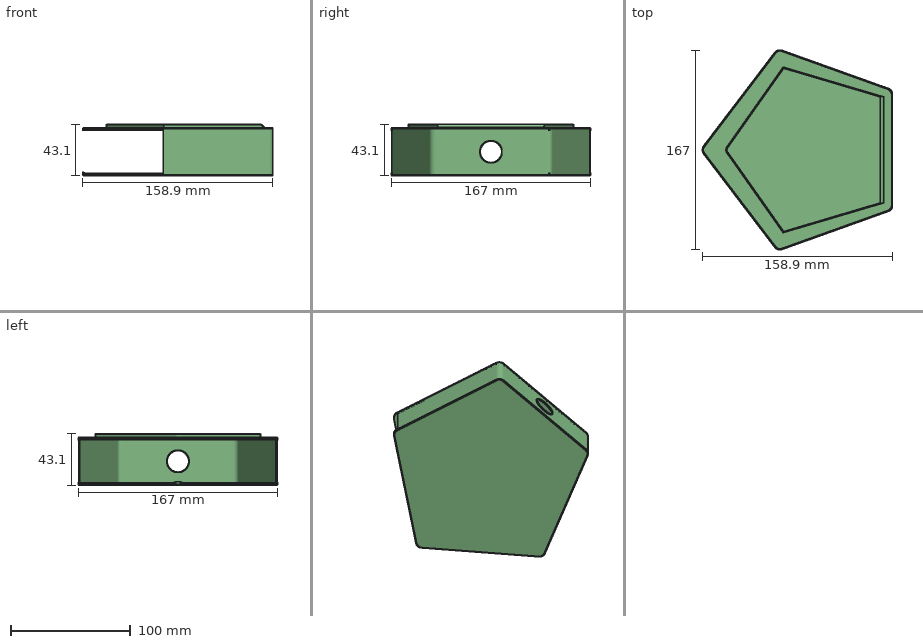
import cadquery as cq

length = 159.0
body_height = 39.9
plate_thickness = 2.0
wall_thickness = 1.0
corner_radius = 5.3
inner_corner_radius = 4.3
edge_chamfer = 0.7

back_x = length / 2
back_half_width = 50.0
shoulder_x = -16.5
shoulder_half_width = 84.5
tip_x = -80.8
wall_start_x = -12.4

panel_height = 3.2
panel_tip_x = -60.6
panel_shoulder_x = -11.9
panel_shoulder_half_width = 69.1
panel_back_x = 72.1
panel_back_half_width = 44.2
panel_tip_radius = 3.8
panel_edge_chamfer = 0.7
panel_lip_height = 0.5
panel_bevel_mid_inset = 1.5
panel_bevel_mid_height = 2.2
panel_bevel_top_inset = 3.0

hole_diameter = 18.0
hole_chamfer = 0.3

stop_height = 1.0
stop_length = 1.3


def pentagon(tip, shoulder, shoulder_half, back, back_half, height):
    """Prism on Z = 0 with a tip toward -X and a flat side toward +X."""
    points = [
        (tip, 0),
        (shoulder, -shoulder_half),
        (back, -back_half),
        (back, back_half),
        (shoulder, shoulder_half),
    ]
    return cq.Workplane("XY").polyline(points).close().extrude(height)


def make_outline(height):
    prism = pentagon(tip_x, shoulder_x, shoulder_half_width, back_x, back_half_width, height)
    return prism.edges("|Z").fillet(corner_radius)


def make_cavity():
    """Space between floor and roof, inset behind the walls and open to -X."""
    height = body_height - 2 * plate_thickness
    sharp = pentagon(tip_x, shoulder_x, shoulder_half_width, back_x, back_half_width, height)
    section = sharp.faces("<Z").wires().vals()[0].offset2D(-wall_thickness)[0]
    cavity = cq.Workplane("XY").add(section).toPending().extrude(height)
    cavity = cavity.edges("|Z and >X").fillet(inner_corner_radius)
    opening_length = wall_start_x - tip_x
    opening = (
        cq.Workplane("XY")
        .box(opening_length, 2 * shoulder_half_width, height, centered=(False, True, False))
        .translate((tip_x, 0, 0))
    )
    return cavity.union(opening).translate((0, 0, plate_thickness))


def make_panel():
    panel = pentagon(
        panel_tip_x,
        panel_shoulder_x,
        panel_shoulder_half_width,
        panel_back_x,
        panel_back_half_width,
        panel_height,
    )
    panel = panel.edges("|Z and <X").fillet(panel_tip_radius)
    panel = panel.faces(">Z").edges("not >X").chamfer(panel_edge_chamfer)
    bevel = (
        cq.Workplane("XZ")
        .moveTo(panel_back_x, panel_lip_height)
        .lineTo(panel_back_x - panel_bevel_mid_inset, panel_bevel_mid_height)
        .lineTo(panel_back_x - panel_bevel_top_inset, panel_height)
        .lineTo(panel_back_x, panel_height)
        .close()
        .extrude(panel_shoulder_half_width, both=True)
    )
    return panel.cut(bevel).translate((0, 0, body_height))


def make_tip_stop():
    """Wedge rising toward the tip, trimmed to the rounded outline."""
    start_x = -length / 2
    return (
        cq.Workplane("XZ")
        .moveTo(tip_x, 0)
        .lineTo(tip_x, plate_thickness + stop_height)
        .lineTo(start_x, plate_thickness + stop_height)
        .lineTo(start_x + stop_length, plate_thickness)
        .lineTo(start_x + stop_length, 0)
        .close()
        .extrude(corner_radius, both=True)
    )


def make_wall_hole():
    inner_face_x = back_x - wall_thickness
    radius = hole_diameter / 2
    profile = (
        cq.Workplane("XY")
        .moveTo(inner_face_x, 0)
        .lineTo(inner_face_x, radius + hole_chamfer)
        .lineTo(inner_face_x + hole_chamfer, radius)
        .lineTo(back_x, radius)
        .lineTo(back_x, 0)
        .close()
    )
    hole = profile.revolve(360, (0, 0, 0), (1, 0, 0))
    return hole.translate((0, 0, body_height / 2))


outline = make_outline(body_height)
body = outline.faces("<Z or >Z").edges().chamfer(edge_chamfer)
tip_stop = make_tip_stop().intersect(body)
result = body.cut(make_cavity()).union(tip_stop).union(make_panel()).cut(make_wall_hole())